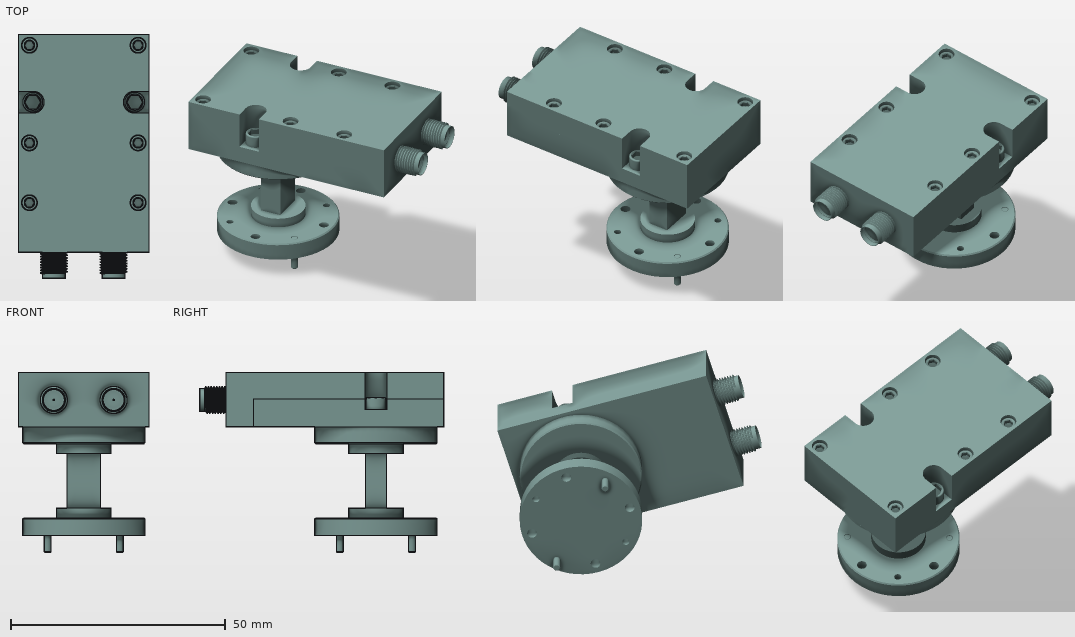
import cadquery as cq
import math


housing_width = 30.45
housing_height = 12.7
housing_back_y = 15.8
housing_front_y = -35.0
base_front_y = -28.5
base_height = 6.45

flange_diameter = 28.6
flange_chamfer = 0.3
upper_flange_thickness = 4.0
lower_flange_thickness = 4.15
boss_diameter = 12.75
boss_height = 2.3
guide_width = 7.85
guide_depth = 4.95
guide_length = 12.7
flange_hole_diameter = 2.3
dowel_diameter = 1.65
dowel_reach = 3.85
dowel_chamfer = 0.15
bolt_circle_radius = 11.9

slot_width = 5.05
slot_floor_z = 4.0
slot_center_x = 11.8
mount_head_diameter = 4.6
mount_head_height = 2.85
mount_head_fillet = 0.3
mount_socket_size = 3.2
mount_socket_depth = 1.4
mount_shank_diameter = 2.3
mount_shank_length = 6.85

socket_lead_in = 0.05

cover_screw_edge = 2.55
cover_screw_rows_y = (housing_back_y - cover_screw_edge, -9.5, -23.45)
counterbore_diameter = 3.7
head_recess = 0.8
cover_head_diameter = 3.5
cover_head_height = 2.15
cover_head_fillet = 0.15
cover_socket_size = 2.0
cover_socket_depth = 1.1
cover_shank_diameter = 2.15
cover_shank_length = 6.85

connector_pitch = 13.95
connector_z = 6.25
connector_length = 6.1
barrel_diameter = 5.4
thread_diameter = 6.3
thread_length = 5.1
thread_turns = 8
thread_end = 4.95
thread_end_angle = 240
thread_root_overlap = 0.05
thread_root_width = 0.5
thread_crest_width = 0.05
bore_diameter = 5.1
bore_depth = 1.15
inner_bore_diameter = 4.9
inner_bore_depth = 1.8
contact_hole_diameter = 0.35
contact_hole_depth = 1.15

counterbore_floor_z = housing_height - head_recess - cover_head_height
cover_screw_x = housing_width / 2 - cover_screw_edge
lower_flange_top_z = -(upper_flange_thickness + 2 * boss_height + guide_length)
lower_flange_bottom_z = lower_flange_top_z - lower_flange_thickness
dowel_offset = bolt_circle_radius / math.sqrt(2)
mount_points = [(side * bolt_circle_radius, 0) for side in (-1, 1)]
cover_screw_points = [(side * cover_screw_x, y) for y in cover_screw_rows_y for side in (-1, 1)]


def block(width, front_y, back_y, bottom_z, height):
    """Rectangular block centred on X = 0."""
    return (
        cq.Workplane("XY", origin=(0, (front_y + back_y) / 2, bottom_z))
        .box(width, back_y - front_y, height, centered=(True, True, False))
    )


def disc(diameter, bottom_z, height, points=((0, 0),)):
    """Upright cylinders of one size, one at each XY point."""
    return (
        cq.Workplane("XY", origin=(0, 0, bottom_z))
        .pushPoints(points)
        .circle(diameter / 2)
        .extrude(height)
    )


def side_slots():
    """Round-ended slots, open to both sides and upward, above the mounting screw seats."""
    slots = cq.Workplane("XY")
    for side in (-1, 1):
        channel = (
            cq.Workplane("XY", origin=(side * (slot_center_x + housing_width / 2), 0, slot_floor_z))
            .box(housing_width, slot_width, housing_height, centered=(True, True, False))
        )
        round_end = disc(slot_width, slot_floor_z, housing_height, [(side * slot_center_x, 0)])
        slots = slots.add(channel.union(round_end))
    return slots.combine()


def cap_screw(head_diameter, head_height, fillet, socket_size, socket_depth, shank_diameter, shank_length):
    """Hex-socket cap screw with its head seated on Z = 0."""
    socket_corner_diameter = socket_size / math.cos(math.pi / 6)
    head = disc(head_diameter, 0, head_height).faces(">Z").edges().fillet(fillet)
    socket = (
        cq.Workplane("XY", origin=(0, 0, head_height - socket_depth))
        .polygon(6, socket_corner_diameter)
        .extrude(socket_depth)
    )
    lead_in_radius = socket_corner_diameter / 2 + socket_lead_in
    lead_in_depth = lead_in_radius - socket_size / 2
    lead_in = cq.Solid.makeCone(
        socket_size / 2, lead_in_radius, lead_in_depth, pnt=cq.Vector(0, 0, head_height - lead_in_depth)
    )
    shank = disc(shank_diameter, -shank_length, shank_length)
    return head.cut(socket).cut(cq.Workplane(lead_in)).union(shank)


def make_mounting_screw(point):
    screw = cap_screw(
        mount_head_diameter, mount_head_height, mount_head_fillet,
        mount_socket_size, mount_socket_depth, mount_shank_diameter, mount_shank_length,
    )
    return screw.translate((*point, slot_floor_z))


def make_cover_screw(point):
    screw = cap_screw(
        cover_head_diameter, cover_head_height, cover_head_fillet,
        cover_socket_size, cover_socket_depth, cover_shank_diameter, cover_shank_length,
    )
    return screw.translate((*point, counterbore_floor_z))


def cover_screw_holes():
    """Shank holes with counterbores for the heads."""
    shanks = disc(
        cover_shank_diameter, counterbore_floor_z - cover_shank_length,
        cover_shank_length, cover_screw_points,
    )
    counterbores = disc(counterbore_diameter, counterbore_floor_z, housing_height, cover_screw_points)
    return shanks.union(counterbores)


def make_thread():
    """Right-handed helical ridge around +Z that ends at Z = thread_end on the +X side."""
    root_radius = barrel_diameter / 2 - thread_root_overlap
    crest_radius = thread_diameter / 2
    helix = cq.Wire.makeHelix(thread_length / thread_turns, thread_length, root_radius)
    ridge = (
        cq.Workplane("XZ")
        .moveTo(root_radius, -thread_root_width / 2)
        .lineTo(crest_radius, -thread_crest_width / 2)
        .lineTo(crest_radius, thread_crest_width / 2)
        .lineTo(root_radius, thread_root_width / 2)
        .close()
        .sweep(cq.Workplane(obj=helix), isFrenet=True)
    )
    return ridge.translate((0, 0, thread_end - thread_length))


def make_connector():
    """Threaded barrel along +Z with a stepped bore in its end."""
    barrel = disc(barrel_diameter, 0, connector_length).union(make_thread())
    bore = disc(bore_diameter, connector_length - bore_depth, bore_depth)
    inner_bore = disc(inner_bore_diameter, connector_length - inner_bore_depth, inner_bore_depth)
    contact_depth = inner_bore_depth + contact_hole_depth
    contact_hole = disc(contact_hole_diameter, connector_length - contact_depth, contact_depth)
    return barrel.cut(bore).cut(inner_bore).cut(contact_hole)


def make_cover():
    """Cover that overhangs the front of the base and carries both connectors."""
    cover = block(housing_width, housing_front_y, housing_back_y, 0, housing_height)
    cover = cover.cut(block(housing_width, base_front_y, housing_back_y, 0, base_height))
    cover = cover.cut(side_slots()).cut(cover_screw_holes())
    connector = (
        make_connector()
        .rotate((0, 0, 0), (0, 0, 1), thread_end_angle)
        .rotate((0, 0, 0), (1, 0, 0), 90)
    )
    for side in (-1, 1):
        cover = cover.union(
            connector.translate((side * connector_pitch / 2, housing_front_y, connector_z))
        )
    return cover


def make_waveguide():
    """Upper flange, rectangular guide and lower flange with holes and dowels."""
    upper_boss_z = -upper_flange_thickness - boss_height
    guide_bottom_z = upper_boss_z - guide_length

    upper_flange = disc(flange_diameter, -upper_flange_thickness, upper_flange_thickness)
    upper_flange = upper_flange.faces("<Z").edges().chamfer(flange_chamfer)
    lower_flange = disc(flange_diameter, lower_flange_bottom_z, lower_flange_thickness)
    lower_flange = lower_flange.faces(">Z").edges().chamfer(flange_chamfer)

    bolt_points = mount_points + [(0, -bolt_circle_radius), (0, bolt_circle_radius)]
    dowel_offsets = (-dowel_offset, dowel_offset)
    dowel_hole_points = [(x, y) for x in dowel_offsets for y in dowel_offsets]
    for diameter, points in ((flange_hole_diameter, bolt_points), (dowel_diameter, dowel_hole_points)):
        lower_flange = lower_flange.cut(
            disc(diameter, lower_flange_bottom_z, lower_flange_thickness, points)
        )

    dowel_points = [(-dowel_offset, -dowel_offset), (dowel_offset, dowel_offset)]
    dowel_length = lower_flange_thickness + dowel_reach
    dowels = disc(dowel_diameter, lower_flange_bottom_z - dowel_reach, dowel_length, dowel_points)
    dowels = dowels.faces("<Z or >Z").edges().chamfer(dowel_chamfer)

    return (
        upper_flange
        .union(disc(boss_diameter, upper_boss_z, boss_height))
        .union(block(guide_width, -guide_depth / 2, guide_depth / 2, guide_bottom_z, guide_length))
        .union(disc(boss_diameter, lower_flange_top_z, boss_height))
        .union(lower_flange)
        .union(dowels)
    )


def make_base():
    """Lower half of the housing in one piece with the waveguide column."""
    base = block(housing_width, base_front_y, housing_back_y, 0, base_height)
    base = base.cut(side_slots()).union(make_waveguide())
    mount_holes = disc(
        mount_shank_diameter, slot_floor_z - mount_shank_length, mount_shank_length, mount_points
    )
    return base.cut(mount_holes).cut(cover_screw_holes())


cover = make_cover()
base = make_base()
mounting_screws = [make_mounting_screw(point).val() for point in mount_points]
cover_screws = [make_cover_screw(point).val() for point in cover_screw_points]

result = cq.Compound.makeCompound([cover.val(), base.val(), *mounting_screws, *cover_screws])